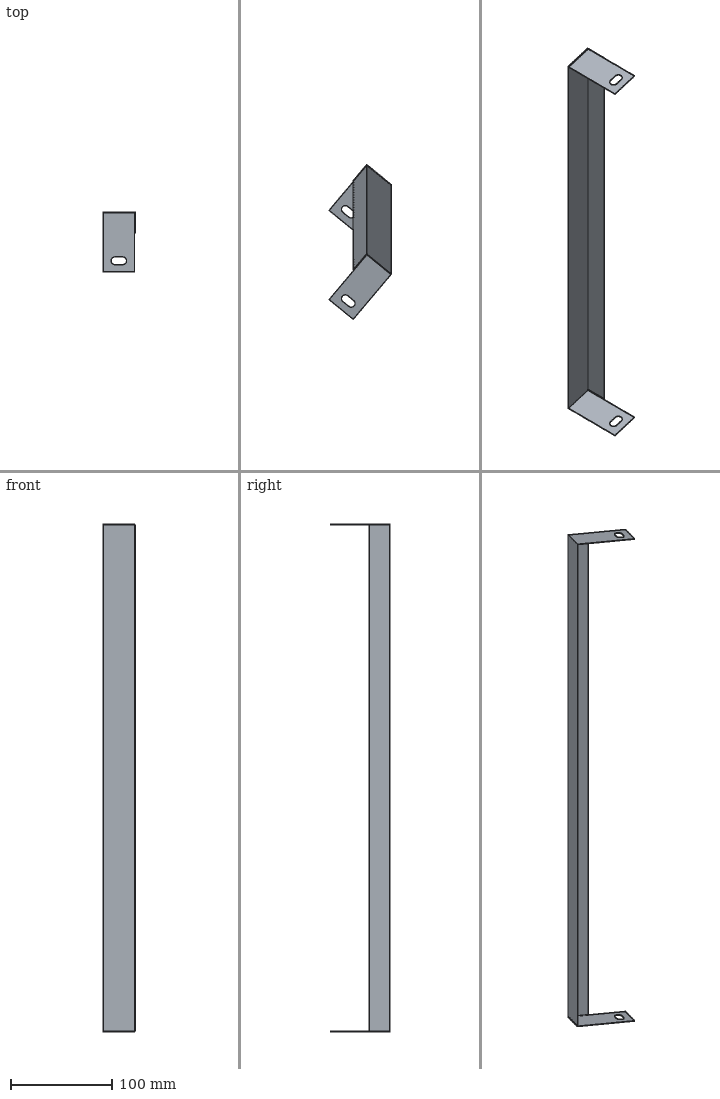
import cadquery as cq

thickness = 0.8
overall_width = 31.8
overall_depth = 59.1
overall_height = 501.6
flange_depth = 20.8

slot_length = 15.0
slot_width = 7.5
slot_setback = 11.0

panel_width = overall_width - thickness
inner_height = overall_height - 2 * thickness


def box(x_size, y_size, z_size, x_min, y_min, z_min):
    """Rectangular sheet placed by its lowest corner."""
    sheet = cq.Workplane("XY").box(x_size, y_size, z_size, centered=False)
    return sheet.translate((x_min, y_min, z_min))


def end_tab(z_min):
    """Tab reaching forward from the back panel, slotted near its free end."""
    slot = (
        cq.Workplane("XY", origin=(panel_width / 2, slot_setback, z_min))
        .slot2D(slot_length, slot_width)
        .extrude(thickness)
    )
    return box(panel_width, overall_depth, thickness, 0, 0, z_min).cut(slot)


back_panel = box(panel_width, thickness, inner_height, 0, overall_depth - thickness, thickness)
side_flange = box(
    thickness, flange_depth, inner_height,
    panel_width, overall_depth - flange_depth, thickness,
)

result = back_panel.union(side_flange)
for tab_bottom in (0, overall_height - thickness):
    result = result.union(end_tab(tab_bottom))